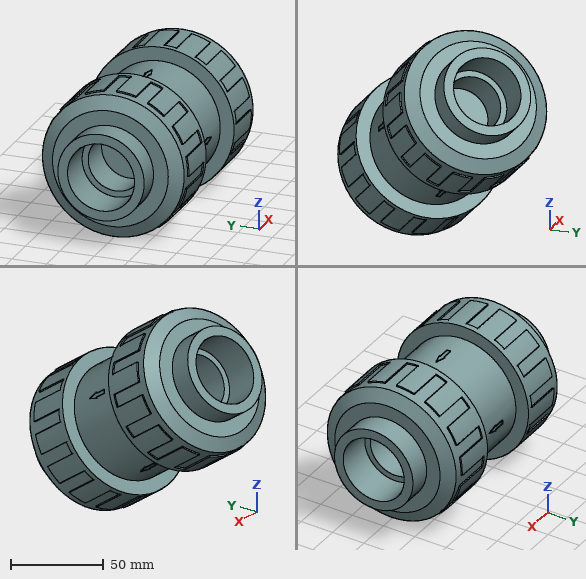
import cadquery as cq
import math

length = 140.0
half_length = length / 2

socket_radius = 25.0
bore_radius = 19.5
bore_depth = 22.0
port_radius = 16.0
port_depth = 42.0

body_radius = 34.0

nut_inner_x = 20.9
nut_outer_x = 56.0
nut_radius = 42.0
nut_chamfer_length = 4.3
nut_chamfer_end_radius = 33.6

pad_count = 14
pad_pitch = 360 / pad_count
gap_angle = 10.0
grip_depth = 0.8
collar_length = 3.5
pad_length = 22.4
recess_inner_x = nut_inner_x + collar_length
pad_outer_x = recess_inner_x + pad_length
nut_rim_radius = nut_radius - grip_depth

arrow_count = 4
arrow_tail_x = -6.7
arrow_neck_x = 0.1
arrow_tip_x = 6.6
arrow_shaft_half_width = 1.1
arrow_head_half_width = 1.8
arrow_height = 0.4


def cylinder(radius, start_x, end_x):
    """Cylinder on the X axis between two positions."""
    return cq.Workplane("YZ", origin=(start_x, 0, 0)).circle(radius).extrude(end_x - start_x)


def recess_cutter(angle):
    """Block between two radial planes, covering one gap that starts at an angle from +Z."""
    reach = 2 * nut_radius
    corners = [
        (-reach * math.sin(math.radians(a)), reach * math.cos(math.radians(a)))
        for a in (angle, angle + gap_angle)
    ]
    sector = cq.Workplane("YZ", origin=(recess_inner_x, 0, 0)).polyline([(0, 0)] + corners).close()
    return sector.extrude(pad_length)


def make_nut():
    """Nut on the +X side: chamfered rim, full-radius collar and grip pads."""
    rim_x = nut_outer_x - nut_chamfer_length
    rim = (
        cq.Workplane("XY")
        .moveTo(nut_inner_x, 0)
        .lineTo(nut_inner_x, nut_rim_radius)
        .lineTo(rim_x, nut_rim_radius)
        .lineTo(nut_outer_x, nut_chamfer_end_radius)
        .lineTo(nut_outer_x, 0)
        .close()
        .revolve(360, (0, 0, 0), (1, 0, 0))
    )
    grip = cylinder(nut_radius, nut_inner_x, pad_outer_x)
    grip_core = cylinder(nut_rim_radius, nut_inner_x, pad_outer_x)
    for index in range(pad_count):
        grip = grip.cut(recess_cutter(index * pad_pitch).cut(grip_core))
    return rim.union(grip)


def make_arrow():
    """Arrow on top of the body, pointing along +X."""
    outline = [
        (arrow_tail_x, -arrow_shaft_half_width),
        (arrow_neck_x, -arrow_shaft_half_width),
        (arrow_neck_x, -arrow_head_half_width),
        (arrow_tip_x, 0),
        (arrow_neck_x, arrow_head_half_width),
        (arrow_neck_x, arrow_shaft_half_width),
        (arrow_tail_x, arrow_shaft_half_width),
    ]
    prism = cq.Workplane("XY").polyline(outline).close().extrude(nut_radius)
    return prism.intersect(cylinder(body_radius + arrow_height, arrow_tail_x, arrow_tip_x))


def make_end_bore():
    """Stepped blind bore of the +X end."""
    bore = cylinder(bore_radius, half_length - bore_depth, half_length)
    port = cylinder(port_radius, half_length - port_depth, half_length)
    return bore.union(port)


def turned(shape, axis, angle):
    """Shape turned about an axis through the origin."""
    return shape.rotate((0, 0, 0), axis, angle)


x_axis = (1, 0, 0)
z_axis = (0, 0, 1)

result = cylinder(socket_radius, -half_length, half_length)
result = result.union(cylinder(body_radius, -nut_inner_x, nut_inner_x))

arrow = make_arrow()
for index in range(arrow_count):
    result = result.union(turned(arrow, x_axis, index * 360 / arrow_count))

nut = make_nut()
end_bore = make_end_bore()
for angle in (0, 180):
    result = result.union(turned(nut, z_axis, angle))
    result = result.cut(turned(end_bore, z_axis, angle))